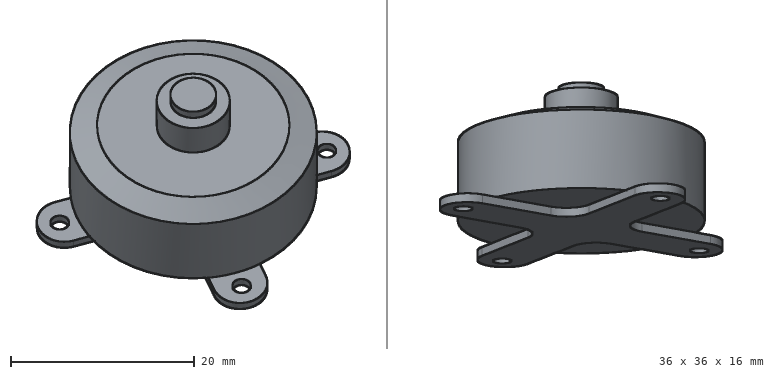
import cadquery as cq

span = 36.0
plate_thickness = 1.0
tab_width = 6.0
tab_count = 4
inner_fillet = 3.0
hole_diameter = 2.0
hole_offset = 15.5

body_diameter = 27.0
body_top_diameter = 21.02
shoulder_height = 9.9
body_height = 11.0
boss_diameter = 8.0
boss_height = 15.0
tip_diameter = 5.0
total_height = 16.0


def mounting_cross():
    """Two crossed round-ended bars, filleted where they meet, with a hole in each tab."""
    bar = cq.Workplane("XY").slot2D(span, tab_width).extrude(plate_thickness)
    cross = bar.union(bar.rotate((0, 0, 0), (0, 0, 1), 90))
    corner_reach = tab_width
    corners = cq.selectors.BoxSelector(
        (-corner_reach, -corner_reach, 0), (corner_reach, corner_reach, plate_thickness)
    )
    cross = cross.edges("|Z").edges(corners).fillet(inner_fillet)
    holes = (
        cq.Workplane("XY")
        .polarArray(hole_offset, 0, 360, tab_count)
        .circle(hole_diameter / 2)
        .extrude(plate_thickness)
    )
    return cross.cut(holes)


def housing_and_shaft():
    """Turned profile of the housing with its sloped shoulder, boss and tip."""
    profile = [
        (0, plate_thickness),
        (body_diameter / 2, plate_thickness),
        (body_diameter / 2, shoulder_height),
        (body_top_diameter / 2, body_height),
        (boss_diameter / 2, body_height),
        (boss_diameter / 2, boss_height),
        (tip_diameter / 2, boss_height),
        (tip_diameter / 2, total_height),
        (0, total_height),
    ]
    return cq.Workplane("XZ").polyline(profile).close().revolve(360, (0, 0), (0, 1))


result = mounting_cross().union(housing_and_shaft())